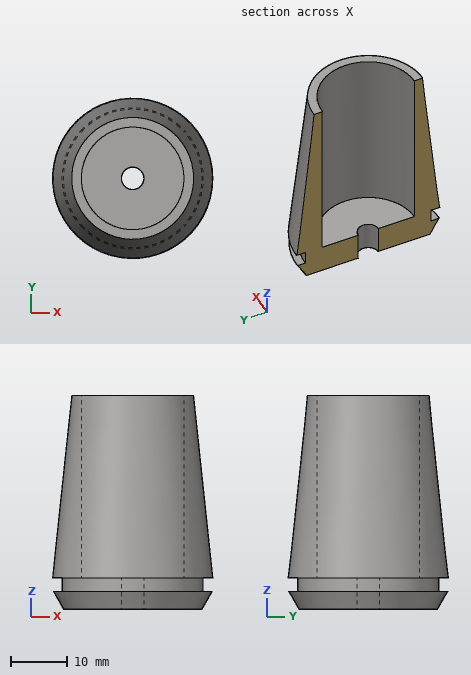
import cadquery as cq

height = 38.0
top_radius = 10.83
shoulder_radius = 14.25

lip_bottom_radius = 12.3
lip_top_radius = 14.15
lip_height = 3.2
groove_radius = 12.55
groove_top = 5.6

bore_radius = 9.12
hole_radius = 1.98
floor_thickness = groove_top


def make_body():
    """Revolve the tapered sleeve, groove and lip around Z."""
    return (
        cq.Workplane("XZ")
        .moveTo(0, 0)
        .lineTo(lip_bottom_radius, 0)
        .lineTo(lip_top_radius, lip_height)
        .lineTo(groove_radius, lip_height)
        .lineTo(groove_radius, groove_top)
        .lineTo(shoulder_radius, groove_top)
        .lineTo(top_radius, height)
        .lineTo(0, height)
        .close()
        .revolve(360, (0, 0, 0), (0, 1, 0))
    )


def make_bore():
    """Wide blind bore from the top, with a small hole through its floor."""
    wide_bore = (
        cq.Workplane("XY")
        .workplane(offset=floor_thickness)
        .circle(bore_radius)
        .extrude(height - floor_thickness)
    )
    small_hole = cq.Workplane("XY").circle(hole_radius).extrude(height)
    return wide_bore.union(small_hole)


result = make_body().cut(make_bore())